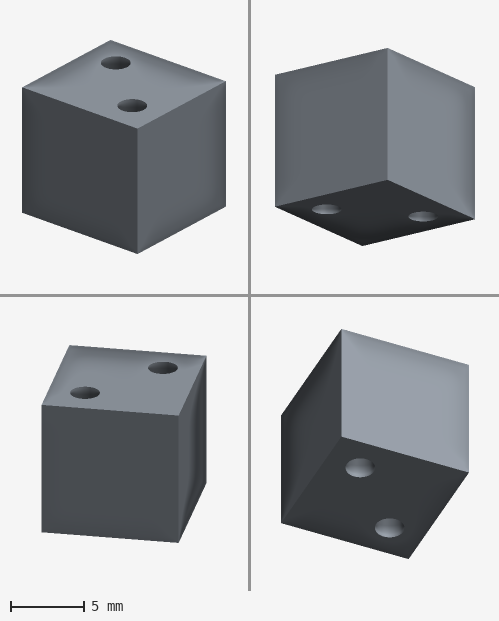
import cadquery as cq

length_x = 10.16
width_y = 9.525
height_z = 9.525

hole_diameter = 2.032
hole_inset = 2.54

hole_x = length_x / 2 - hole_inset
hole_y = width_y / 2 - hole_inset
hole_centers = [(-hole_x, hole_y), (hole_x, -hole_y)]


def make_block():
    """Plain rectangular block centred on the origin."""
    return cq.Workplane("XY").box(length_x, width_y, height_z)


def drill_holes(block):
    """Drill the vertical holes through the full height."""
    return block.faces(">Z").workplane().pushPoints(hole_centers).hole(hole_diameter)


result = drill_holes(make_block())